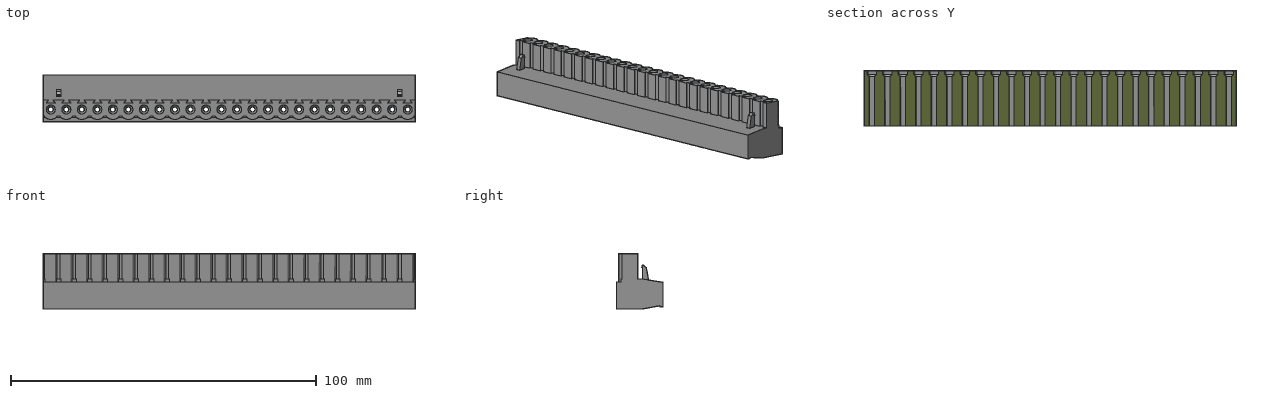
import cadquery as cq

LENGTH = 121.8
DEPTH = 15.3
HEIGHT = 18.1

POSITIONS = 24
ROW_SPAN = 116.8
PITCH = ROW_SPAN / (POSITIONS - 1)
FIRST_POSITION = (LENGTH - ROW_SPAN) / 2

FRONT_SHELF_Z = 8.9
BACK_EDGE_Z = 8.8
FLAT_Z = 9.9
FLAT_BACK_Y = 8.4
TOWER_BACK_Y = 7.1
UNDERSIDE_BREAK_Y = 8.6
LIP_Z = 0.7
LIP_FRONT_Y = 14.3
SLOPE_END_Z = 1.04

RIDGE_Y = 0.79
RIDGE_FLAT = 0.7
SHOULDER_Y = 1.1
SHOULDER_OFFSET = 1.3
VALLEY_Y = 1.8
VALLEY_WIDTH = 0.9
VALLEY_STEP_Y = 1.5
VALLEY_STEP_WIDTH = 1.7

HOLE_Y = 4.0
HOLE_DIAMETER = 1.6
BORE_DIAMETER = 2.9
BORE_DEPTH = 1.2
CONE_DEPTH = 0.7

SLOT_FLOOR_Y = 6.2
SLOT_FLOOR_WIDTH = 2.9
SLOT_MOUTH_WIDTH = 1.5

HOOK_WIDTH = 1.5
HOOK_ROOT_BACK_Y = 10.7
HOOK_SHOULDER_Y = 9.9
HOOK_TIP_BACK_Y = 8.9
HOOK_TIP_FRONT_Y = 8.5
HOOK_BARB_Y = 8.3
HOOK_FRONT_Y = 8.5
HOOK_TIP_Z = 14.4
HOOK_SHOULDER_Z = 13.5
HOOK_BARB_Z = 13.5
HOOK_ROOT_Z = BACK_EDGE_Z

axes_x = [FIRST_POSITION + i * PITCH for i in range(POSITIONS)]


def extrude_along_row(outline, start_x, length):
    """Extrude a closed (y, z) outline along X."""
    return cq.Workplane("YZ", origin=(start_x, 0, 0)).polyline(outline).close().extrude(length)


def make_housing():
    outline = [
        (0, 0),
        (UNDERSIDE_BREAK_Y, 0),
        (LIP_FRONT_Y, SLOPE_END_Z),
        (LIP_FRONT_Y, LIP_Z),
        (DEPTH, LIP_Z),
        (DEPTH, BACK_EDGE_Z),
        (FLAT_BACK_Y, FLAT_Z),
        (VALLEY_Y, FLAT_Z),
        (VALLEY_Y, FRONT_SHELF_Z),
        (0, FRONT_SHELF_Z),
    ]
    return extrude_along_row(outline, 0, LENGTH)


def make_tower():
    """Upright wall with one rounded ridge in front of every contact."""
    half_flat = RIDGE_FLAT / 2
    half_ridge = (PITCH - VALLEY_WIDTH) / 2
    wall = cq.Workplane("XY", origin=(0, 0, FRONT_SHELF_Z)).moveTo(-PITCH, TOWER_BACK_Y)
    wall = wall.lineTo(-PITCH, VALLEY_Y)
    for x in axes_x:
        wall = (
            wall.lineTo(x - half_ridge, VALLEY_Y)
            .threePointArc((x - SHOULDER_OFFSET, SHOULDER_Y), (x - half_flat, RIDGE_Y))
            .lineTo(x + half_flat, RIDGE_Y)
            .threePointArc((x + SHOULDER_OFFSET, SHOULDER_Y), (x + half_ridge, VALLEY_Y))
        )
    wall = wall.lineTo(LENGTH + PITCH, VALLEY_Y).lineTo(LENGTH + PITCH, TOWER_BACK_Y).close()
    wall = wall.extrude(HEIGHT - FRONT_SHELF_Z)
    envelope = cq.Workplane("XY").box(LENGTH, DEPTH, HEIGHT, centered=False)
    return wall.union(make_valley_steps()).intersect(envelope)


def make_valley_steps():
    """Low blocks at the foot of the valleys beside the ridges."""
    valleys_x = [axes_x[0] - PITCH / 2] + [x + PITCH / 2 for x in axes_x]
    return (
        cq.Workplane("XY", origin=(0, 0, FRONT_SHELF_Z))
        .pushPoints([(x, (VALLEY_STEP_Y + VALLEY_Y) / 2) for x in valleys_x])
        .rect(VALLEY_STEP_WIDTH, VALLEY_Y - VALLEY_STEP_Y)
        .extrude(FLAT_Z - FRONT_SHELF_Z)
    )


def make_hook(centre_x):
    outline = [
        (HOOK_ROOT_BACK_Y, HOOK_ROOT_Z),
        (HOOK_SHOULDER_Y, HOOK_SHOULDER_Z),
        (HOOK_TIP_BACK_Y, HOOK_TIP_Z),
        (HOOK_TIP_FRONT_Y, HOOK_TIP_Z),
        (HOOK_BARB_Y, HOOK_BARB_Z),
        (HOOK_FRONT_Y, HOOK_BARB_Z),
        (HOOK_FRONT_Y, HOOK_ROOT_Z),
    ]
    return extrude_along_row(outline, centre_x - HOOK_WIDTH / 2, HOOK_WIDTH)


def make_coding_slot(x):
    outline = [
        (x - SLOT_FLOOR_WIDTH / 2, SLOT_FLOOR_Y),
        (x + SLOT_FLOOR_WIDTH / 2, SLOT_FLOOR_Y),
        (x + SLOT_MOUTH_WIDTH / 2, TOWER_BACK_Y),
        (x - SLOT_MOUTH_WIDTH / 2, TOWER_BACK_Y),
    ]
    floor = cq.Workplane("XY", origin=(0, 0, FLAT_Z))
    return floor.polyline(outline).close().extrude(HEIGHT - FLAT_Z)


def make_contact_hole(x):
    """Through hole below a wider bore with a conical floor, turned about the contact axis."""
    bore_floor_z = HEIGHT - BORE_DEPTH
    outline = [
        (0, 0),
        (HOLE_DIAMETER / 2, 0),
        (HOLE_DIAMETER / 2, bore_floor_z - CONE_DEPTH),
        (BORE_DIAMETER / 2, bore_floor_z),
        (BORE_DIAMETER / 2, HEIGHT),
        (0, HEIGHT),
    ]
    half_section = cq.Workplane("XZ", origin=(x, HOLE_Y, 0)).polyline(outline).close()
    return half_section.revolve(360, (0, 0, 0), (0, 1, 0))


result = make_housing().union(make_tower())
for hook_x in (axes_x[0] + PITCH / 2, axes_x[-1] - PITCH / 2):
    result = result.union(make_hook(hook_x))

cutters = [make(x).val() for make in (make_contact_hole, make_coding_slot) for x in axes_x]
result = cq.Workplane(result.val().cut(*cutters)).clean()